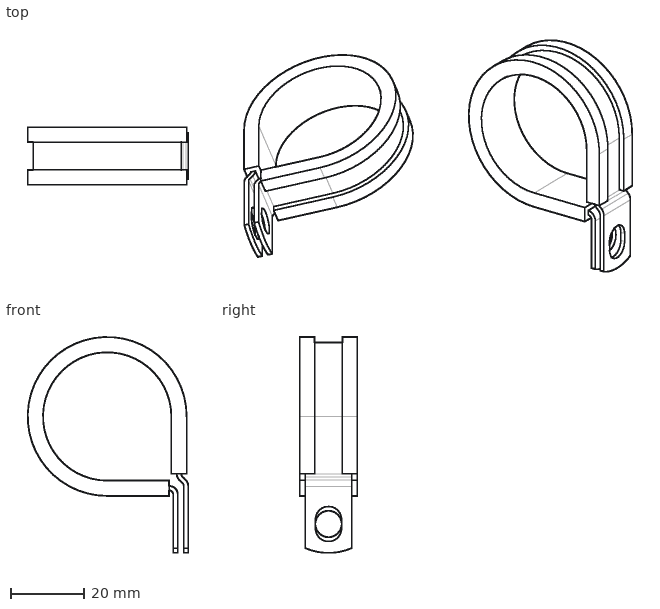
import cadquery as cq
import math

inner_radius = 17.46
cushion_thickness = 4.24
outer_radius = inner_radius + cushion_thickness
cushion_width = 15.75
right_leg_length = 15.63
lower_leg_length = 16.88

groove_depth = 1.5
groove_width = 7.6
groove_radius = outer_radius - groove_depth

strap_thickness = 1.27
strap_width = 12.7
bend_inner_radius = 1.13
bend_outer_radius = bend_inner_radius + strap_thickness
strap_inner_radius = groove_radius - strap_thickness

total_width = 43.83
total_height = 58.96
right_tab_face = total_width - outer_radius
tab_bottom = outer_radius - total_height
tab_end_sag = 1.33
joggle_angle = math.radians(46)
hole_diameter = 7.14
hole_height = 7.94
right_slot_travel = 2.4


def polar(center, radius, angle):
    """Point at the given angle and radius around a centre in the XZ plane."""
    return (center[0] + radius * math.cos(angle), center[1] + radius * math.sin(angle))


def extrude_centered(outline, width):
    """Extrude an XZ outline symmetrically along Y."""
    return outline.extrude(width / 2, both=True)


def loop_band(small_radius, large_radius, width):
    """Band between two radii that follows the ring and both straight legs."""
    ring_middle = math.radians(135)
    ring_center = (0, 0)
    outline = (
        cq.Workplane("XZ")
        .moveTo(large_radius, -right_leg_length)
        .lineTo(large_radius, 0)
        .threePointArc(polar(ring_center, large_radius, ring_middle), (0, -large_radius))
        .lineTo(lower_leg_length, -large_radius)
        .lineTo(lower_leg_length, -small_radius)
        .lineTo(0, -small_radius)
        .threePointArc(polar(ring_center, small_radius, ring_middle), (small_radius, 0))
        .lineTo(small_radius, -right_leg_length)
        .close()
    )
    return extrude_centered(outline, width)


def make_cushion():
    """Cushion with the strap groove cut along its whole outer face."""
    groove = loop_band(groove_radius, outer_radius, groove_width)
    return loop_band(inner_radius, outer_radius, cushion_width).cut(groove)


def make_lower_tab():
    """Strap leaving the lower leg and turning 90 degrees down."""
    center = (lower_leg_length, -groove_radius - bend_inner_radius)
    middle = math.radians(45)
    outline = (
        cq.Workplane("XZ")
        .moveTo(*polar(center, bend_outer_radius, math.pi / 2))
        .threePointArc(polar(center, bend_outer_radius, middle), polar(center, bend_outer_radius, 0))
        .lineTo(center[0] + bend_outer_radius, tab_bottom)
        .lineTo(center[0] + bend_inner_radius, tab_bottom)
        .lineTo(*polar(center, bend_inner_radius, 0))
        .threePointArc(
            polar(center, bend_inner_radius, middle),
            polar(center, bend_inner_radius, math.pi / 2),
        )
        .close()
    )
    return extrude_centered(outline, strap_width)


def make_right_tab():
    """Strap leaving the right leg and stepping outward through an S-shaped joggle."""
    radius_sum = bend_inner_radius + bend_outer_radius
    step = right_tab_face - groove_radius
    slope_step = step - radius_sum * (1 - math.cos(joggle_angle))
    slope_drop = slope_step / math.tan(joggle_angle)
    joggle_drop = radius_sum * math.sin(joggle_angle) + slope_drop

    upper = (groove_radius + bend_inner_radius, -right_leg_length)
    lower = (right_tab_face - bend_outer_radius, -right_leg_length - joggle_drop)
    upper_end = math.pi + joggle_angle
    upper_middle = math.pi + joggle_angle / 2
    lower_middle = joggle_angle / 2
    outline = (
        cq.Workplane("XZ")
        .moveTo(groove_radius, -right_leg_length)
        .threePointArc(
            polar(upper, bend_inner_radius, upper_middle),
            polar(upper, bend_inner_radius, upper_end),
        )
        .lineTo(*polar(lower, bend_outer_radius, joggle_angle))
        .threePointArc(polar(lower, bend_outer_radius, lower_middle), polar(lower, bend_outer_radius, 0))
        .lineTo(right_tab_face, tab_bottom)
        .lineTo(right_tab_face - strap_thickness, tab_bottom)
        .lineTo(*polar(lower, bend_inner_radius, 0))
        .threePointArc(
            polar(lower, bend_inner_radius, lower_middle),
            polar(lower, bend_inner_radius, joggle_angle),
        )
        .lineTo(*polar(upper, bend_outer_radius, upper_end))
        .threePointArc(
            polar(upper, bend_outer_radius, upper_middle),
            (strap_inner_radius, -right_leg_length),
        )
        .close()
    )
    return extrude_centered(outline, strap_width)


def make_tab_envelope(slot_travel=0):
    """Tab face shape along X: straight sides, a rounded lower end and the bolt hole.

    A slot travel above zero stretches the hole vertically by that distance.
    """
    half_width = strap_width / 2
    side_bottom = tab_bottom + tab_end_sag
    face = (
        cq.Workplane("YZ")
        .moveTo(-half_width, 0)
        .lineTo(-half_width, side_bottom)
        .threePointArc((0, tab_bottom), (half_width, side_bottom))
        .lineTo(half_width, 0)
        .close()
        .extrude(total_width)
    )
    hole_plane = cq.Workplane("YZ").center(0, tab_bottom + hole_height)
    if slot_travel > 0:
        hole_outline = hole_plane.slot2D(hole_diameter + slot_travel, hole_diameter, 90)
    else:
        hole_outline = hole_plane.circle(hole_diameter / 2)
    return face.cut(hole_outline.extrude(total_width))


lower_tab = make_lower_tab().intersect(make_tab_envelope())
right_tab = make_right_tab().intersect(make_tab_envelope(right_slot_travel))
result = make_cushion().union(lower_tab).union(right_tab)